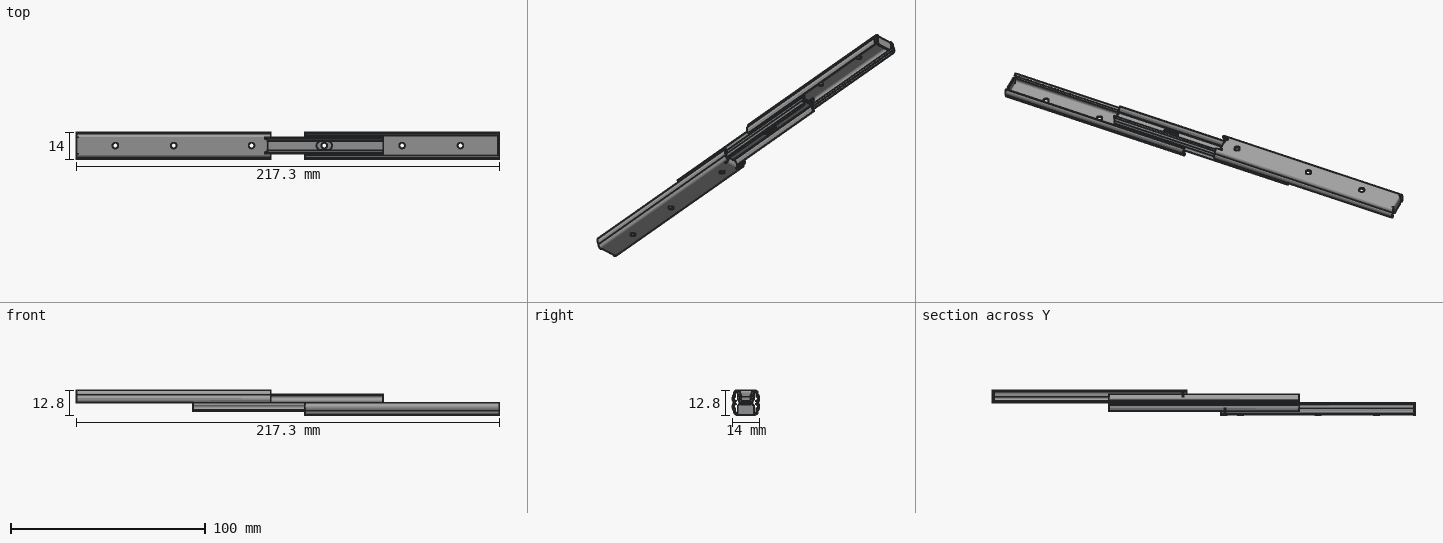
import cadquery as cq
import math

TOTAL_LENGTH = 217.3
MID_X = TOTAL_LENGTH / 2

RAIL_LENGTH = 100.0
RAIL_HEIGHT = 6.4
RAIL_HALF_WIDTH = 7.0
SHEET = 0.8
WEB_HALF_WIDTH = 4.24
SHOULDER_HALF_WIDTH = 6.2
SHOULDER_TOP_Z = 4.8
SHOULDER_BOTTOM_Z = 4.1
CORNER_MID_Y = 5.6
CORNER_MID_Z = 5.9
FLANGE_INSIDE_Y = 5.5
INSIDE_CORNER_Z = 4.5
INSIDE_CORNER_MID_Y = 5.1
INSIDE_CORNER_MID_Z = 5.2
GROOVE_TOP_Z = 3.0
LIP_END_Y = 6.0
BULGE_MID_Z = SHOULDER_BOTTOM_Z / 2
LIP_TIP_Y = 5.0
LIP_TIP_Z = 0.9

END_BEND_RADIUS = 0.9
END_TAB_TIP_Z = 0.9
END_TAB_CHAMFER = 0.75
STOP_X = 98.2
STOP_TIP_Z = 3.0
STOP_BEND_RADIUS = 1.3
STOP_ROOT_HALF_WIDTH = 3.5
STOP_TIP_HALF_WIDTH = 2.2

HOLE_DIAMETER = 2.8
HOLE_XS = (20.0, 50.0, 90.0)
SLOT_LENGTH = 8.0
SLOT_WIDTH = 4.3

INNER_LENGTH = 97.8
INNER_FLOOR_HALF_WIDTH = 2.28
INNER_BACK_HALF_WIDTH = 2.8
INNER_BULGE_Y = 3.59
INNER_BULGE_Z = 0.9
INNER_NECK_Y = 3.3
INNER_NECK_Z = 1.7
INNER_GROOVE_Y = 3.0
INNER_GROOVE_Z = 2.5
INNER_RIM_Y = 4.24
INNER_RIM_Z = 3.7
INNER_TIP_Y = 3.5
INNER_TIP_Z = 4.3
INNER_WALL_MID_Y = 2.5
INNER_WALL_MID_Z = 2.8
INNER_FOOT_Y = 2.4
INNER_FOOT_Z = 1.3


def turned_over(body):
    """Return the copy of an upper body that belongs to the lower half."""
    return body.rotate((MID_X, 0, 0), (MID_X, 1, 0), 180)


def channel(half_profile, start_x, length):
    """Extrude a half section along X and join it with its mirror image across Y = 0."""
    half = half_profile.extrude(length).translate((start_x, 0, 0))
    return half.union(half.mirror("XZ"))


def rail_section():
    """Half section of the outer rail, in Y and Z."""
    web_bottom_z = RAIL_HEIGHT - SHEET
    return (
        cq.Workplane("YZ")
        .moveTo(0, RAIL_HEIGHT)
        .lineTo(WEB_HALF_WIDTH, RAIL_HEIGHT)
        .threePointArc((CORNER_MID_Y, CORNER_MID_Z), (SHOULDER_HALF_WIDTH, SHOULDER_TOP_Z))
        .lineTo(SHOULDER_HALF_WIDTH, SHOULDER_BOTTOM_Z)
        .threePointArc((RAIL_HALF_WIDTH, BULGE_MID_Z), (LIP_END_Y, 0))
        .lineTo(LIP_TIP_Y, LIP_TIP_Z)
        .threePointArc((RAIL_HALF_WIDTH - SHEET, BULGE_MID_Z), (FLANGE_INSIDE_Y, GROOVE_TOP_Z))
        .lineTo(FLANGE_INSIDE_Y, INSIDE_CORNER_Z)
        .threePointArc((INSIDE_CORNER_MID_Y, INSIDE_CORNER_MID_Z), (WEB_HALF_WIDTH, web_bottom_z))
        .lineTo(0, web_bottom_z)
        .close()
    )


def web_strip(start_x, end_x):
    """Block that covers the flat web, used to clear it before a tab is added."""
    return (
        cq.Workplane("XY")
        .box(end_x - start_x, 2 * WEB_HALF_WIDTH, 2 * SHEET, centered=(False, True, True))
        .translate((start_x, 0, RAIL_HEIGHT - SHEET / 2))
    )


def bent_tab(outline, radius, tip_z):
    """Tab that continues a web coming from +X and bends down to a face at X = 0.

    The outline is the tab's shape in Y and Z; the radius is the outside of the bend.
    """
    center_z = RAIL_HEIGHT - radius
    inner_radius = radius - SHEET
    diagonal = math.sqrt(0.5)
    strip = (
        cq.Workplane("XZ")
        .moveTo(radius, RAIL_HEIGHT)
        .threePointArc((radius - diagonal * radius, center_z + diagonal * radius), (0, center_z))
        .lineTo(0, tip_z)
        .lineTo(SHEET, tip_z)
        .lineTo(SHEET, center_z)
        .threePointArc(
            (radius - diagonal * inner_radius, center_z + diagonal * inner_radius),
            (radius, RAIL_HEIGHT - SHEET),
        )
        .close()
        .extrude(WEB_HALF_WIDTH, both=True)
    )
    return strip.intersect(outline.extrude(radius))


def end_tab():
    """Closing tab at X = 0, with chamfered lower corners."""
    outline = cq.Workplane("YZ").polyline([
        (-WEB_HALF_WIDTH, RAIL_HEIGHT),
        (WEB_HALF_WIDTH, RAIL_HEIGHT),
        (WEB_HALF_WIDTH, END_TAB_TIP_Z + END_TAB_CHAMFER),
        (WEB_HALF_WIDTH - END_TAB_CHAMFER, END_TAB_TIP_Z),
        (-WEB_HALF_WIDTH + END_TAB_CHAMFER, END_TAB_TIP_Z),
        (-WEB_HALF_WIDTH, END_TAB_TIP_Z + END_TAB_CHAMFER),
    ]).close()
    return bent_tab(outline, END_BEND_RADIUS, END_TAB_TIP_Z)


def stop_tab():
    """Short tapered tab near the other end of the web, facing +X."""
    outline = cq.Workplane("YZ").polyline([
        (-STOP_ROOT_HALF_WIDTH, RAIL_HEIGHT),
        (STOP_ROOT_HALF_WIDTH, RAIL_HEIGHT),
        (STOP_TIP_HALF_WIDTH, STOP_TIP_Z),
        (-STOP_TIP_HALF_WIDTH, STOP_TIP_Z),
    ]).close()
    return bent_tab(outline, STOP_BEND_RADIUS, STOP_TIP_Z).mirror("YZ").translate((STOP_X, 0, 0))


def make_outer_rail():
    """Upper outer rail, with its two tabs and its mounting holes."""
    stop_bend_x = STOP_X - STOP_BEND_RADIUS
    rail = channel(rail_section(), 0, RAIL_LENGTH)
    rail = rail.cut(web_strip(0, END_BEND_RADIUS)).union(end_tab())
    rail = rail.cut(web_strip(stop_bend_x, RAIL_LENGTH)).union(stop_tab())
    holes = (
        cq.Workplane("XY", origin=(0, 0, RAIL_HEIGHT - SHEET))
        .pushPoints([(x, 0) for x in HOLE_XS])
        .circle(HOLE_DIAMETER / 2)
        .extrude(SHEET)
    )
    return rail.cut(holes)


def inner_section():
    """Half section of the inner rail, in Y and Z."""
    return (
        cq.Workplane("YZ")
        .lineTo(INNER_BACK_HALF_WIDTH, 0)
        .threePointArc((INNER_BULGE_Y, INNER_BULGE_Z), (INNER_NECK_Y, INNER_NECK_Z))
        .threePointArc((INNER_GROOVE_Y, INNER_GROOVE_Z), (INNER_RIM_Y, INNER_RIM_Z))
        .lineTo(INNER_TIP_Y, INNER_TIP_Z)
        .threePointArc((INNER_WALL_MID_Y, INNER_WALL_MID_Z), (INNER_FOOT_Y, INNER_FOOT_Z))
        .lineTo(INNER_FLOOR_HALF_WIDTH, SHEET)
        .lineTo(0, SHEET)
        .close()
    )


def make_inner_rail():
    """Upper inner rail, centred along X, with slots under the mounting holes nearest the middle."""
    access_x = HOLE_XS[-1]
    slots = (
        cq.Workplane("XY")
        .pushPoints([(access_x, 0), (TOTAL_LENGTH - access_x, 0)])
        .slot2D(SLOT_LENGTH, SLOT_WIDTH)
        .extrude(SHEET)
    )
    return channel(inner_section(), MID_X - INNER_LENGTH / 2, INNER_LENGTH).cut(slots)


upper_outer_rail = make_outer_rail()
upper_inner_rail = make_inner_rail()
lower_outer_rail = turned_over(upper_outer_rail)
lower_inner_rail = turned_over(upper_inner_rail)

result = cq.Compound.makeCompound([
    upper_outer_rail.val(),
    lower_outer_rail.val(),
    upper_inner_rail.val(),
    lower_inner_rail.val(),
])